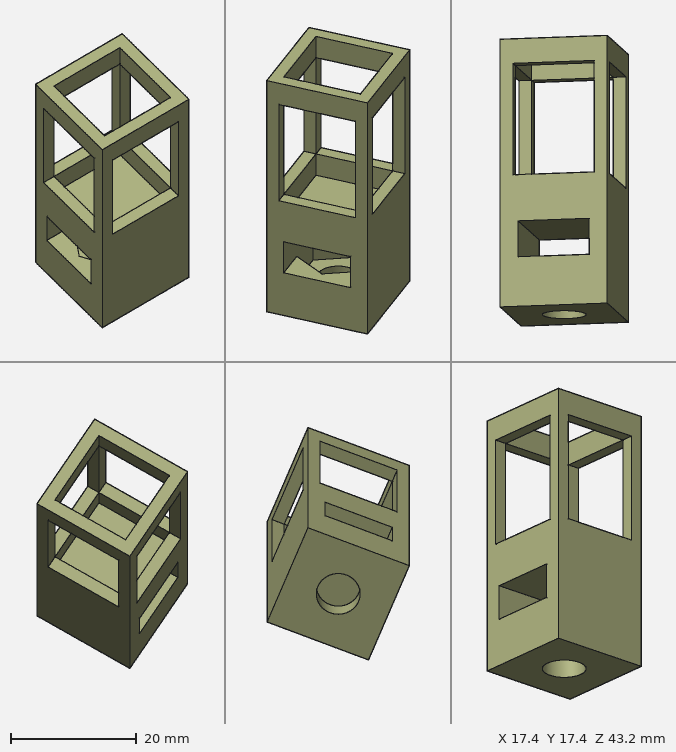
import cadquery as cq
import math

height = 43.25
width = 17.4

chamber_width = 13.2
rim_height = 4.0
window_height = 18.0
sill_height = 4.0
window_top = height - rim_height
window_bottom = window_top - window_height
chamber_floor = window_bottom - sill_height

slot_width = 11.5
slot_bottom = 8.0
slot_height = 5.8

hex_depth = 4.5
hex_floor = slot_bottom - hex_depth
hex_corner_diameter = slot_width / math.cos(math.radians(30))
bore_diameter = 6.95


def block(size_x, size_y, size_z, bottom):
    """Box centred on the Z axis with its underside at the given height."""
    return (
        cq.Workplane("XY")
        .workplane(offset=bottom)
        .box(size_x, size_y, size_z, centered=(True, True, False))
    )


body = block(width, width, height, 0)

body = body.cut(block(chamber_width, chamber_width, height - chamber_floor, chamber_floor))
for size_x, size_y in ((chamber_width, width), (width, chamber_width)):
    body = body.cut(block(size_x, size_y, window_height, window_bottom))

body = body.cut(block(slot_width, width, slot_height, slot_bottom))

hex_pocket = (
    cq.Workplane("XY")
    .workplane(offset=hex_floor)
    .polygon(6, hex_corner_diameter)
    .extrude(hex_depth)
    .rotate((0, 0, 0), (0, 0, 1), 30)
)
body = body.cut(hex_pocket)

bore = cq.Workplane("XY").circle(bore_diameter / 2).extrude(hex_floor)
result = body.cut(bore)